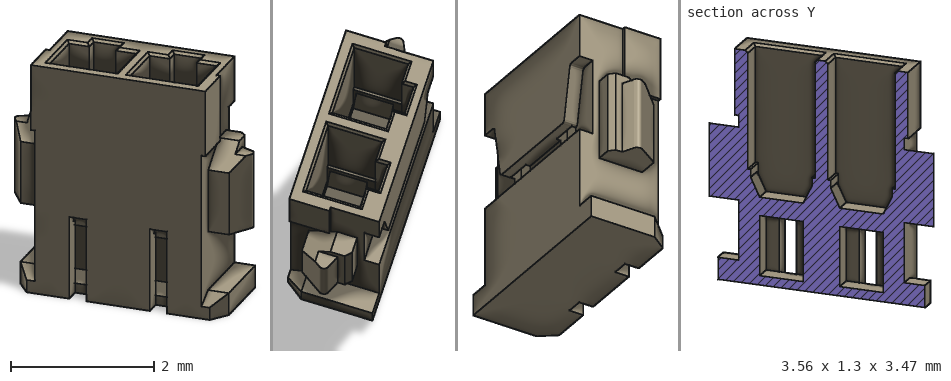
import cadquery as cq
import math

height = 3.47
depth = 1.3
overall_width = 3.56
body_half_width = 1.245
collar_half_width = 1.303
collar_depth = 0.587
collar_bottom = 2.48

ear_half_width = 1.555
foot_height = 0.335
foot_front_height = 0.19
foot_chamfer_depth = 0.255
foot_chamfer_width = 0.19
ear_front = 0.267
ear_back = 0.975
ear_bottom = 1.22
ear_top = collar_bottom
ear_slope_start = 0.685
ear_slope_bottom = 2.157
ear_back_chamfer = 0.082

barb_top = 2.345
barb_back = 0.79
barb_corner_x = 1.82
barb_corner_y = 0.67

cavity_offset = 0.6
cavity_half_width = 0.502
cavity_front = 0.185
cavity_back = 0.975
mouth_chamfer = 0.04
side_ledge_height = 1.71
well_half_width = 0.46
well_floor = 1.105
key_half_width = 0.2
key_back = 1.15

block_front = 0.228
block_back = 0.773
trough_half_width = 0.325
trough_depth = 0.278

slot_width = 0.255
slot_height = 1.245
chamber_half_width = trough_half_width
chamber_bottom = 0.145
chamber_top = 1.032
chamber_back = 0.712

notch_depth = 0.217
notch_bottom = 1.59
notch_top = 2.79
tongue_bottom = 1.92
tongue_root_half_width = 0.997
tongue_tip_half_width = 0.835
tongue_round = 0.057

block_top = notch_bottom


def box(x_min, x_max, y_min, y_max, z_min, z_max):
    """Box given by its limits along each axis."""
    size = (x_max - x_min, y_max - y_min, z_max - z_min)
    return cq.Workplane().box(*size, centered=False).translate((x_min, y_min, z_min))


def centred_box(half_width, y_min, y_max, z_min, z_max):
    """Box placed symmetrically about X = 0."""
    return box(-half_width, half_width, y_min, y_max, z_min, z_max)


def side_profile(points, half_width):
    """Extrude a YZ outline symmetrically about X = 0."""
    return cq.Workplane("YZ").polyline(points).close().extrude(half_width, both=True)


def make_body():
    body = centred_box(body_half_width, 0, depth, 0, height)
    collar = centred_box(collar_half_width, 0, collar_depth, collar_bottom, height)
    return body.union(collar)


def make_feet():
    profile = [
        (0, 0),
        (depth, 0),
        (depth, foot_height),
        (foot_chamfer_depth, foot_height),
        (0, foot_front_height),
    ]
    inner = ear_half_width - foot_chamfer_width
    plan = [
        (-inner, 0),
        (inner, 0),
        (ear_half_width, foot_chamfer_depth),
        (ear_half_width, depth),
        (-ear_half_width, depth),
        (-ear_half_width, foot_chamfer_depth),
    ]
    chamfered_plan = cq.Workplane().polyline(plan).close().extrude(foot_height)
    return side_profile(profile, ear_half_width).intersect(chamfered_plan)


def barb_round_radius():
    """Radius that brings the rounded barb tip to the overall width."""
    reach = barb_corner_x - ear_half_width
    front_angle = math.atan2(barb_corner_y - ear_front, reach)
    back_angle = math.atan2(barb_back - barb_corner_y, reach)
    half_corner = (front_angle + back_angle) / 2
    bisector_angle = (front_angle - back_angle) / 2
    trimmed = barb_corner_x - overall_width / 2
    return trimmed / (math.cos(bisector_angle) / math.sin(half_corner) - 1)


def make_ear():
    """Ear and barb on the +X side."""
    profile = [
        (ear_front, ear_bottom),
        (ear_back, ear_bottom),
        (ear_back, ear_top),
        (ear_slope_start, ear_top),
        (ear_front, ear_slope_bottom),
    ]
    ear = box(0, ear_half_width, ear_front, ear_back, ear_bottom, ear_top)
    ear = ear.edges("|Z and >X and >Y").chamfer(ear_back_chamfer)
    barb_plan = [
        (ear_half_width, ear_front),
        (barb_corner_x, barb_corner_y),
        (ear_half_width, barb_back),
    ]
    barb = cq.Workplane(origin=(0, 0, ear_bottom)).polyline(barb_plan).close()
    barb = barb.extrude(barb_top - ear_bottom)
    barb = barb.edges("|Z and >X").fillet(barb_round_radius())
    return ear.union(barb).intersect(side_profile(profile, overall_width))


def cavity_outline(growth):
    """Corners of the cavity and its key slot, moved outward by a given growth."""
    half = cavity_half_width + growth
    key_half = key_half_width + growth
    front = cavity_front - growth
    shoulder = cavity_back + growth
    back = key_back + growth
    return [
        (-half, front),
        (half, front),
        (half, shoulder),
        (key_half, shoulder),
        (key_half, back),
        (-key_half, back),
        (-key_half, shoulder),
        (-half, shoulder),
    ]


def make_support_block():
    """Block on the well floor with a trough along Y in its top."""
    half = well_half_width
    trough_bottom = block_top - trough_depth
    profile = [
        (-half, well_floor),
        (half, well_floor),
        (half, block_top),
        (trough_half_width, trough_bottom),
        (-trough_half_width, trough_bottom),
        (-half, block_top),
    ]
    block = cq.Workplane("XZ", origin=(0, block_front, 0)).polyline(profile).close()
    return block.extrude(block_front - block_back)


def make_cavity():
    """Open space of one cavity, centred on X = 0."""
    main = centred_box(cavity_half_width, cavity_front, cavity_back, side_ledge_height, height)
    well = centred_box(well_half_width, cavity_front, cavity_back, well_floor, height)
    key = centred_box(key_half_width, cavity_back, key_back, notch_bottom, height)
    mouth = (
        cq.Workplane(origin=(0, 0, height - mouth_chamfer))
        .polyline(cavity_outline(0))
        .close()
        .workplane(offset=mouth_chamfer)
        .polyline(cavity_outline(mouth_chamfer))
        .close()
        .loft(ruled=True)
    )
    return main.union(well).cut(make_support_block()).union(key).union(mouth)


def make_slot():
    """Front slot and the wider chamber behind it, centred on X = 0."""
    slot = centred_box(slot_width / 2, 0, block_front, 0, slot_height)
    chamber = centred_box(chamber_half_width, block_front, chamber_back, chamber_bottom, chamber_top)
    return slot.union(chamber)


def make_notch():
    """Rear notch with the tapered tongue left standing in it."""
    front = depth - notch_depth
    half = body_half_width
    tip = tongue_tip_half_width
    root = tongue_root_half_width
    profile = [
        (-half, notch_bottom),
        (half, notch_bottom),
        (half, notch_top),
        (root, notch_top),
        (tip, tongue_bottom),
        (-tip, tongue_bottom),
        (-root, notch_top),
        (-half, notch_top),
    ]
    notch = cq.Workplane("XZ", origin=(0, front, 0)).polyline(profile).close().extrude(-notch_depth)
    tongue_space = cq.selectors.BoxSelector(
        (-half + tongue_round, 0, 0), (half - tongue_round, depth, height)
    )
    return notch.edges("|Y").edges(tongue_space).fillet(tongue_round)


ear = make_ear()
result = make_body().union(make_feet()).union(ear).union(ear.mirror("YZ"))
result = result.cut(make_notch())
cavity = make_cavity()
slot = make_slot()
for x_centre in (-cavity_offset, cavity_offset):
    offset = (x_centre, 0, 0)
    result = result.cut(cavity.translate(offset)).cut(slot.translate(offset))